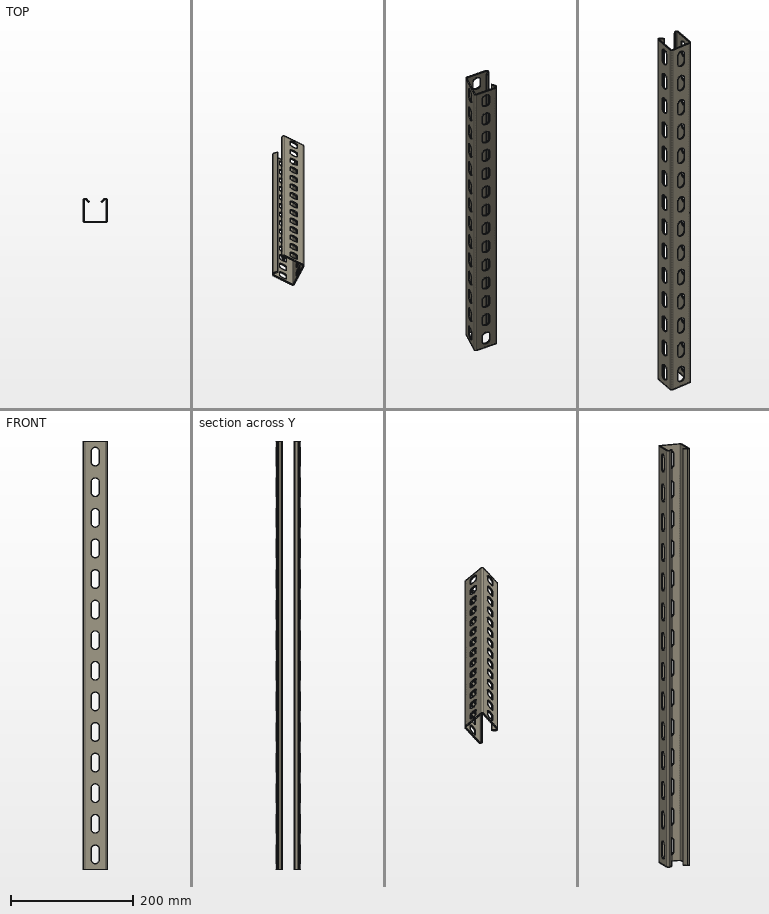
import cadquery as cq
import math

length = 700.0
side = 40.0
sheet = 2.0
bend_inner = 1.0
bend_outer = bend_inner + sheet

lip_flat = 5.0
lip_fold_length = 8.0
lip_angle = math.radians(45)

slot_count = 14
slot_pitch = length / slot_count
slot_length = 30.0
slot_radius = 6.5

half = side / 2


def half_profile():
    """Points of the +X half section, from the middle of the back wall to the lip and back."""
    inner = half - sheet
    fold_x = half - lip_flat
    fold_shift = sheet * math.tan(lip_angle / 2)
    run = lip_fold_length * math.cos(lip_angle)
    drop = lip_fold_length * math.sin(lip_angle)
    tip_x = fold_x - run
    tip_y = half - drop
    return [
        (0, -half),
        (half, -half),
        (half, half),
        (fold_x, half),
        (tip_x, tip_y),
        (tip_x + sheet * math.sin(lip_angle), tip_y - sheet * math.cos(lip_angle)),
        (fold_x + fold_shift, inner),
        (inner, inner),
        (inner, -inner),
        (0, -inner),
    ]


def channel():
    """Folded sheet with rounded bends at its four corners."""
    right_half = half_profile()
    left_half = [(-x, y) for x, y in reversed(right_half[1:-1])]
    body = cq.Workplane("XY").polyline(right_half + left_half).close().extrude(length)
    inner = half - sheet
    for corner, radius in ((half, bend_outer), (inner, bend_inner)):
        for x in (-corner, corner):
            for y in (-corner, corner):
                edge = cq.selectors.NearestToPointSelector((x, y, length / 2))
                body = body.edges("|Z").edges(edge).fillet(radius)
    return body


def slot_row(plane, depth):
    """Upright slots at even pitch, centred on the wall and cut through it."""
    centres = [(0, slot_pitch * (i + 0.5)) for i in range(slot_count)]
    return (
        cq.Workplane(plane)
        .pushPoints(centres)
        .slot2D(slot_length, 2 * slot_radius, 90)
        .extrude(depth, both=True)
    )


back_slots = slot_row("XZ", 2 * sheet).translate((0, -half, 0))
side_slots = slot_row("YZ", side)

result = channel().cut(back_slots).cut(side_slots)